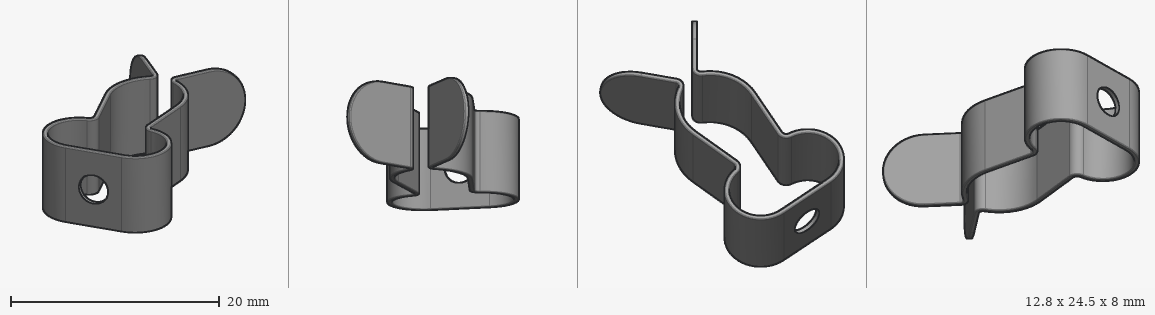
import cadquery as cq
import math

strip_height = 8.0
thickness = 0.5
edge_round = 0.1
overall_width = 12.8
overall_length = 24.45
hole_diameter = 3.0

lobe_radius = 3.25
jaw_radius = 4.75
waist_radius = 0.7
neck_radius = 0.6
jaw_centre = (-1.03, 13.53)
waist_gap = 4.97
neck_gap = 1.52
flare_angle = 39.0

half_thickness = thickness / 2
lobe_centre = (
    overall_width / 2 - half_thickness - lobe_radius,
    lobe_radius + half_thickness,
)


def bend_centre(gap, bend_radius, arc_centre, arc_radius):
    """Centre of an inward bend touching the strip arc below it from outside."""
    x = gap / 2 + half_thickness + bend_radius
    reach = arc_radius + bend_radius
    return x, arc_centre[1] + math.sqrt(reach**2 - (x - arc_centre[0]) ** 2)


def direction(start, end):
    """Angle in degrees of the line from start to end."""
    return math.degrees(math.atan2(end[1] - start[1], end[0] - start[0]))


def polar(centre, radius, angle):
    """Point at the given radius and angle in degrees around a centre."""
    turn = math.radians(angle)
    return centre[0] + radius * math.cos(turn), centre[1] + radius * math.sin(turn)


waist_centre = bend_centre(waist_gap, waist_radius, lobe_centre, lobe_radius)
neck_centre = bend_centre(neck_gap, neck_radius, jaw_centre, jaw_radius)

lobe_end = direction(lobe_centre, waist_centre)
jaw_end = direction(jaw_centre, neck_centre)
leg_normal = direction(jaw_centre, waist_centre) + math.degrees(
    math.acos((jaw_radius + waist_radius) / math.dist(jaw_centre, waist_centre))
)
flare_normal = 180 - flare_angle

bends = [
    (lobe_centre, lobe_radius, 1, -90, lobe_end),
    (waist_centre, waist_radius, -1, lobe_end + 180, leg_normal + 180),
    (jaw_centre, jaw_radius, 1, leg_normal, jaw_end),
    (neck_centre, neck_radius, -1, jaw_end + 180, flare_normal),
]

flare_turn = math.radians(flare_angle)
flare_start = polar(neck_centre, neck_radius, flare_normal)
corner_inset = edge_round * (math.sin(flare_turn) + math.cos(flare_turn) - 1)
end_y = overall_length - half_thickness * math.sin(flare_turn) + corner_inset
end_x = flare_start[0] + (end_y - flare_start[1]) * math.tan(flare_turn)
tongue_end = (end_x, end_y)


def face_arcs(offset):
    """Start, middle and end points of every bend on the face at this offset."""
    arcs = []
    for centre, radius, side, start, end in bends:
        face_radius = radius + side * offset
        angles = (start, (start + end) / 2, end)
        arcs.append([polar(centre, face_radius, angle) for angle in angles])
    return arcs


def half_strip():
    """The +X half of the strip, square ended."""
    outer_end = polar(tongue_end, half_thickness, -flare_angle)
    inner_end = polar(tongue_end, half_thickness, 180 - flare_angle)
    lobe, waist, jaw, neck = face_arcs(half_thickness)
    inner_lobe, inner_waist, inner_jaw, inner_neck = face_arcs(-half_thickness)
    outline = (
        cq.Workplane("XY")
        .lineTo(*lobe[0])
        .threePointArc(*lobe[1:])
        .threePointArc(*waist[1:])
        .lineTo(*jaw[0])
        .threePointArc(*jaw[1:])
        .threePointArc(*neck[1:])
        .lineTo(*outer_end)
        .lineTo(*inner_end)
        .lineTo(*inner_neck[2])
        .threePointArc(*inner_neck[1::-1])
        .threePointArc(*inner_jaw[1::-1])
        .lineTo(*inner_waist[2])
        .threePointArc(*inner_waist[1::-1])
        .threePointArc(*inner_lobe[1::-1])
        .lineTo(0, thickness)
        .close()
    )
    return outline.extrude(strip_height / 2, both=True)


def tongue_end_waste():
    """Material outside the full round at the free end of the +X tongue."""
    end_radius = strip_height / 2
    along = (math.sin(flare_turn), math.cos(flare_turn), 0)
    across = (math.cos(flare_turn), -math.sin(flare_turn), 0)
    plane = cq.Plane(origin=(*tongue_end, 0), xDir=along, normal=across)
    block = cq.Workplane(plane).center(-end_radius / 2, 0).rect(end_radius, strip_height)
    block = block.extrude(thickness, both=True)
    disc = cq.Workplane(plane).center(-end_radius, 0).circle(end_radius)
    return block.cut(disc.extrude(thickness, both=True))


half_clip = half_strip().cut(tongue_end_waste())
clip = half_clip.union(half_clip.mirror("YZ"))
clip = clip.faces("|Z").edges().fillet(edge_round)

mounting_hole = cq.Workplane("XZ").circle(hole_diameter / 2).extrude(-lobe_radius)
result = clip.cut(mounting_hole)